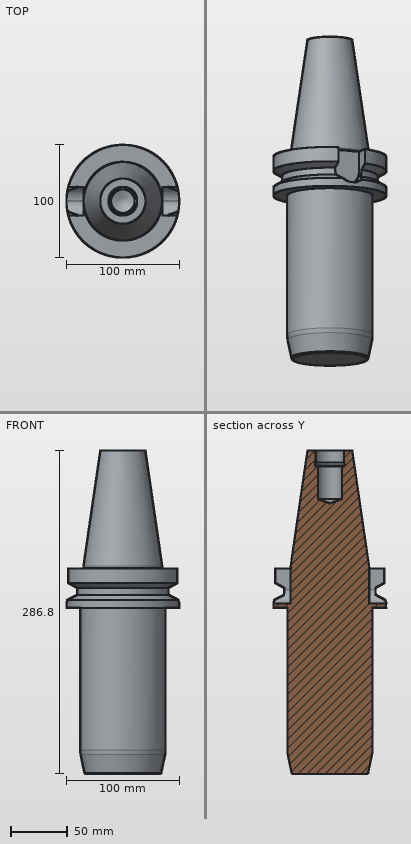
import cadquery as cq
import math

TOTAL_HEIGHT = 286.8
FLANGE_BOTTOM = 147.0
FLANGE_TOP = 182.0
NECK_TOP = 182.7
GAUGE_LINE = 184.0

BODY_RADIUS = 76.0 / 2
NOSE_TAPER_ANGLE = 12.0
NOSE_BLEND_TOP = 21.5
NOSE_BLEND_BOTTOM = 17.2
NOSE_CHAMFER = 1.1

FLANGE_RADIUS = 100.0 / 2
GROOVE_RADIUS = 42.5
GROOVE_WALL_ANGLE = 30.0
LOWER_RIM_HEIGHT = 7.2
UPPER_RIM_HEIGHT = 13.0

NECK_RADIUS = 69.5 / 2
GAUGE_RADIUS = 70.0 / 2
TAPER_RATIO = 7 / 24

SLOT_WIDTH = 25.5
SLOT_CORNER_RADIUS = 12.3
SLOT_DEPTH = 31.0
SLOT_FLOOR_X = 35.0
SLOT_LENGTH = 23.0

COUNTERBORE_RADIUS = 25.0 / 2
COUNTERBORE_DEPTH = 11.0
RELIEF_RADIUS = 25.5 / 2
RELIEF_LENGTH = 2.5
BORE_RADIUS = 21.0 / 2
BORE_DEPTH = 43.0
CONE_ANGLE = 140.0


def holder_body():
    """Solid of revolution: nose, flange, neck and steep taper."""
    angle = math.radians(NOSE_TAPER_ANGLE)
    blend_height = NOSE_BLEND_TOP - NOSE_BLEND_BOTTOM
    blend_radius = blend_height / math.sin(angle)
    arc_center_r = BODY_RADIUS - blend_radius

    def blend_r(turn):
        return arc_center_r + blend_radius * math.cos(turn)

    blend_mid = (blend_r(angle / 2), NOSE_BLEND_TOP - blend_radius * math.sin(angle / 2))
    blend_end = (blend_r(angle), NOSE_BLEND_BOTTOM)
    nose_r = blend_end[0] - (NOSE_BLEND_BOTTOM - NOSE_CHAMFER) * math.tan(angle)

    groove_wall = (FLANGE_RADIUS - GROOVE_RADIUS) * math.tan(math.radians(GROOVE_WALL_ANGLE))
    lower_rim_top = FLANGE_BOTTOM + LOWER_RIM_HEIGHT
    upper_rim_bottom = FLANGE_TOP - UPPER_RIM_HEIGHT
    shank_end_r = GAUGE_RADIUS - (TOTAL_HEIGHT - GAUGE_LINE) * TAPER_RATIO / 2

    profile = (
        cq.Workplane("XZ")
        .moveTo(0, 0)
        .lineTo(nose_r - NOSE_CHAMFER, 0)
        .lineTo(nose_r, NOSE_CHAMFER)
        .lineTo(*blend_end)
        .threePointArc(blend_mid, (BODY_RADIUS, NOSE_BLEND_TOP))
        .lineTo(BODY_RADIUS, FLANGE_BOTTOM)
        .lineTo(FLANGE_RADIUS, FLANGE_BOTTOM)
        .lineTo(FLANGE_RADIUS, lower_rim_top)
        .lineTo(GROOVE_RADIUS, lower_rim_top + groove_wall)
        .lineTo(GROOVE_RADIUS, upper_rim_bottom - groove_wall)
        .lineTo(FLANGE_RADIUS, upper_rim_bottom)
        .lineTo(FLANGE_RADIUS, FLANGE_TOP)
        .lineTo(NECK_RADIUS, FLANGE_TOP)
        .lineTo(NECK_RADIUS, NECK_TOP)
        .lineTo(GAUGE_RADIUS, NECK_TOP)
        .lineTo(GAUGE_RADIUS, GAUGE_LINE)
        .lineTo(shank_end_r, TOTAL_HEIGHT)
        .lineTo(0, TOTAL_HEIGHT)
        .close()
    )
    return profile.revolve(360, (0, 0, 0), (0, 1, 0))


def drive_slot(side):
    """Slot cutter with large bottom corner radii, open at the flange top; side is +1 or -1."""
    bottom = FLANGE_TOP - SLOT_DEPTH
    blank = (
        cq.Workplane("XY", origin=(side * (SLOT_FLOOR_X + SLOT_LENGTH / 2), 0, bottom))
        .box(SLOT_LENGTH, SLOT_WIDTH, SLOT_DEPTH, centered=(True, True, False))
    )
    return blank.edges("|X and <Z").fillet(SLOT_CORNER_RADIUS)


def pull_stud_bore():
    """Blind bore: counterbore, wider relief and countersunk hole ending in a conical drill point."""
    step_z = TOTAL_HEIGHT - COUNTERBORE_DEPTH
    relief_end = step_z - RELIEF_LENGTH
    cone_slope = 1 / math.tan(math.radians(CONE_ANGLE / 2))
    countersink_end = relief_end - (RELIEF_RADIUS - BORE_RADIUS) * cone_slope
    bore_end = TOTAL_HEIGHT - BORE_DEPTH
    point_height = BORE_RADIUS * cone_slope
    profile = (
        cq.Workplane("XZ")
        .moveTo(0, TOTAL_HEIGHT)
        .lineTo(COUNTERBORE_RADIUS, TOTAL_HEIGHT)
        .lineTo(COUNTERBORE_RADIUS, step_z)
        .lineTo(RELIEF_RADIUS, step_z)
        .lineTo(RELIEF_RADIUS, relief_end)
        .lineTo(BORE_RADIUS, countersink_end)
        .lineTo(BORE_RADIUS, bore_end)
        .lineTo(0, bore_end - point_height)
        .close()
    )
    return profile.revolve(360, (0, 0, 0), (0, 1, 0))


result = holder_body().cut(pull_stud_bore())
for side in (-1, 1):
    result = result.cut(drive_slot(side))